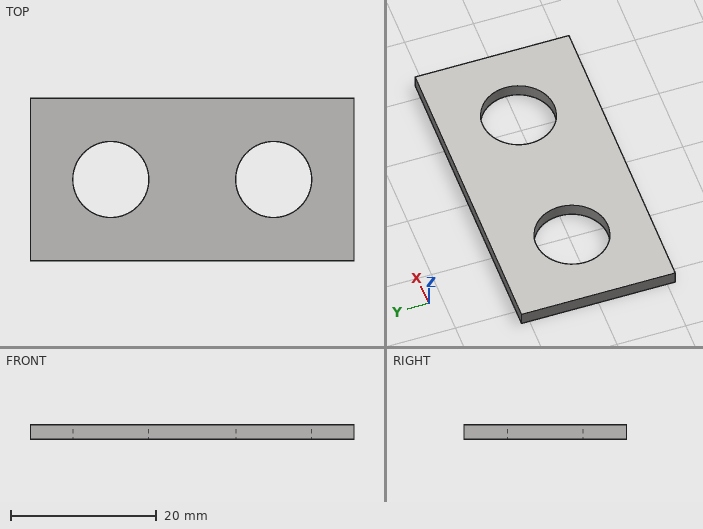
import cadquery as cq

length = 44.45
width = 22.35
thickness = 2.0

hole_diameter = 10.41
hole_spacing = 22.35


def make_plate():
    """Flat rectangular plate centred on the origin."""
    return cq.Workplane("XY").box(length, width, thickness)


def cut_holes(plate):
    """Cut the pair of through holes, symmetric about the plate centre."""
    hole_centres = [(side * hole_spacing / 2, 0) for side in (-1, 1)]
    return plate.faces(">Z").workplane().pushPoints(hole_centres).hole(hole_diameter)


result = cut_holes(make_plate())